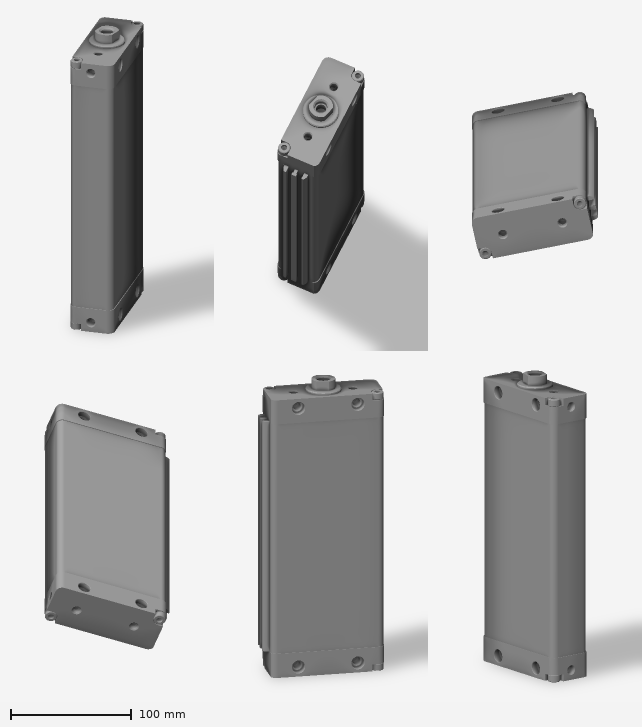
import cadquery as cq
import math

cap_height = 21.0
barrel_length = 200.0
rod_projection = 10.0

part_depth = 102.0
cap_width = 38.0
cap_depth = 97.0
cap_corner_radius = 5.8
barrel_inset = 0.63

drill_tip_ratio = 0.6

side_rail_inner_x = 7.0
side_rail_tip_x = 8.8
side_rail_middle_x = 10.5
side_rail_foot_x = 10.8
tee_stem_width = 2.8
tee_head_width = 4.3
tee_head_height = 2.3

thread_mouth_diameter = 8.3
thread_diameter = 6.5
thread_depth = 7.5
pilot_diameter = 5.5
pilot_depth = 12.5
port_inset = 8.3
hole_spacing = 50.5

cross_core_diameter = 6.5
cross_mouth_diameter = 8.3
cross_rim_diameter = 11.3
cross_seat_diameter = 10.5
cross_seat_depth = 5.0

screw_x = 13.5
screw_y = 42.8
screw_head_diameter = 10.0
screw_recess_diameter = 10.5
screw_recess_depth = 6.0
screw_chamfer = 0.5
socket_diameter = 5.0
socket_depth = 2.5

collar_diameter = 30.0
collar_height = 2.3
collar_chamfer = 0.8
rod_diameter = 20.0
rod_flat_width = 17.0
rod_flat_angle = -16.0
rod_mouth_diameter = 13.0
rod_mouth_depth = 1.3
rod_thread_diameter = 10.5
rod_thread_depth = 5.0
rod_core_diameter = 8.3
rod_core_depth = 12.5

barrel_top = cap_height + barrel_length
cap_top = barrel_top + cap_height
rod_top = cap_top + rod_projection
corner_x = cap_width / 2 - cap_corner_radius
corner_y = cap_depth / 2 - cap_corner_radius
barrel_corner_radius = cap_corner_radius - barrel_inset
cap_front_y = -cap_depth / 2
barrel_back_y = cap_depth / 2 - barrel_inset
rail_tip_y = cap_front_y + part_depth


def rounded_block(corner_radius, height):
    """Block with rounded vertical edges whose corner centres are shared by every housing part."""
    width = 2 * (corner_x + corner_radius)
    depth = 2 * (corner_y + corner_radius)
    block = cq.Workplane("XY").rect(width, depth).extrude(height)
    return block.edges("|Z").fillet(corner_radius)


def cone_tip(diameter):
    """Drill-point cone with its base on Z = 0 and its point downwards."""
    radius = diameter / 2
    profile = cq.Workplane("XZ").polyline([(0, 0), (radius, 0), (0, -drill_tip_ratio * radius)]).close()
    return profile.revolve(360, (0, 0, 0), (0, 1, 0))


def threaded_hole():
    """Cutter for a stepped blind hole with a countersunk mouth, entering Z = 0 from above."""
    mouth_radius = thread_mouth_diameter / 2
    thread_radius = thread_diameter / 2
    pilot_radius = pilot_diameter / 2
    profile = (
        cq.Workplane("XZ")
        .lineTo(mouth_radius, 0)
        .lineTo(thread_radius, thread_radius - mouth_radius)
        .lineTo(thread_radius, -thread_depth)
        .lineTo(pilot_radius, -thread_depth)
        .lineTo(pilot_radius, -pilot_depth)
        .lineTo(0, -pilot_depth)
        .close()
    )
    return profile.revolve(360, (0, 0, 0), (0, 1, 0))


def cross_hole():
    """Cutter along X: a through hole with a chamfered counterbore and a countersink at both ends."""
    half_width = cap_width / 2
    seat_x = half_width - cross_seat_depth
    core_radius = cross_core_diameter / 2
    mouth_radius = cross_mouth_diameter / 2
    seat_radius = cross_seat_diameter / 2
    rim_radius = cross_rim_diameter / 2
    half_profile = (
        cq.Workplane("XY")
        .lineTo(half_width, 0)
        .lineTo(half_width, rim_radius)
        .lineTo(half_width - (rim_radius - seat_radius), seat_radius)
        .lineTo(seat_x, seat_radius)
        .lineTo(seat_x, mouth_radius)
        .lineTo(seat_x - (mouth_radius - core_radius), core_radius)
        .lineTo(0, core_radius)
        .close()
    )
    half_hole = half_profile.revolve(360, (0, 0, 0), (1, 0, 0))
    return half_hole.union(half_hole.mirror("YZ"))


def screw_recess():
    """Cutter for the +X +Y corner: a round pocket opened out through both side faces."""
    radius = screw_recess_diameter / 2
    arc_middle = -radius * math.sqrt(0.5)
    outline = (
        cq.Workplane("XY")
        .moveTo(-radius, 0)
        .threePointArc((arc_middle, arc_middle), (0, -radius))
        .lineTo(screw_recess_diameter, -radius)
        .lineTo(screw_recess_diameter, screw_recess_diameter)
        .lineTo(-radius, screw_recess_diameter)
        .close()
    )
    return outline.extrude(-screw_recess_depth)


def screw_head():
    """Socket screw head standing on the recess floor with its top at Z = 0 and both rims chamfered."""
    head = cq.Workplane("XY").circle(screw_head_diameter / 2).extrude(-screw_recess_depth)
    head = head.edges().chamfer(screw_chamfer)
    socket = cq.Workplane("XY").circle(socket_diameter / 2).extrude(-socket_depth)
    tip = cone_tip(socket_diameter).translate((0, 0, -socket_depth))
    return head.cut(socket).cut(tip)


def build_cap():
    """Cap with its outer face up at Z = cap_height, and its corner screws at -X -Y and +X +Y."""
    cap = rounded_block(cap_corner_radius, cap_height)

    trim = cq.Workplane("XY").box(cap_width, cap_corner_radius, cap_height, centered=(True, False, False))
    cap = cap.cut(trim.translate((0, barrel_back_y, 0)))

    port_z = cap_height - port_inset
    for side in (-1, 1):
        cap = cap.cut(cross_hole().translate((0, side * hole_spacing / 2, port_z)))
        cap = cap.cut(threaded_hole().translate((0, side * hole_spacing / 2, cap_height)))

    port = threaded_hole().rotate((0, 0, 0), (1, 0, 0), 90)
    cap = cap.cut(port.translate((0, cap_front_y, port_z)))

    for turn in (0, 180):
        recess = screw_recess().translate((screw_x, screw_y, cap_height))
        head = screw_head().translate((screw_x, screw_y, cap_height))
        cap = cap.cut(recess.rotate((0, 0, 0), (0, 0, 1), turn))
        cap = cap.union(head.rotate((0, 0, 0), (0, 0, 1), turn))
    return cap


def build_top_cap():
    """Top cap with a bearing collar and the bore for the piston rod."""
    collar_base = cq.Workplane("XY").workplane(offset=cap_height)
    collar = collar_base.circle(collar_diameter / 2).extrude(collar_height)
    collar = collar.faces(">Z").edges().chamfer(collar_chamfer)
    bore = cq.Workplane("XY").circle(rod_diameter / 2).extrude(cap_height + collar_height)
    return build_cap().union(collar).cut(bore).translate((0, 0, barrel_top))


def side_rail(side):
    """Rail near one side of the +Y face, with a flat inner face and an outer face bowed from tip to foot."""
    inner_x = side * side_rail_inner_x
    tip = (side * side_rail_tip_x, rail_tip_y)
    middle = (side * side_rail_middle_x, (barrel_back_y + rail_tip_y) / 2)
    foot = (side * side_rail_foot_x, barrel_back_y)
    outline = (
        cq.Workplane("XY")
        .moveTo(inner_x, barrel_back_y)
        .lineTo(inner_x, rail_tip_y)
        .lineTo(*tip)
        .threePointArc(middle, foot)
        .close()
    )
    return outline.extrude(barrel_length)


def tee_rail():
    """Central rail of T section with its head outwards."""
    half_stem = tee_stem_width / 2
    half_head = tee_head_width / 2
    shoulder_y = rail_tip_y - tee_head_height
    half_outline = (
        cq.Workplane("XY")
        .moveTo(0, barrel_back_y)
        .lineTo(half_stem, barrel_back_y)
        .lineTo(half_stem, shoulder_y)
        .lineTo(half_head, shoulder_y)
        .lineTo(half_head, rail_tip_y)
        .lineTo(0, rail_tip_y)
        .mirrorY()
    )
    return half_outline.extrude(barrel_length)


def build_barrel():
    """Barrel between the caps, with three rails along its +Y face."""
    barrel = rounded_block(barrel_corner_radius, barrel_length)
    for side in (-1, 1):
        barrel = barrel.union(side_rail(side))
    return barrel.union(tee_rail()).translate((0, 0, cap_height))


def build_rod():
    """Piston rod seated on the barrel, with wrench flats above the collar and a threaded end hole."""
    rod_base = cq.Workplane("XY").workplane(offset=barrel_top)
    rod = rod_base.circle(rod_diameter / 2).extrude(rod_top - barrel_top)

    flat_bottom = cap_top + collar_height
    flats = (
        cq.Workplane("XY")
        .workplane(offset=flat_bottom)
        .rect(2 * rod_diameter, 2 * rod_diameter)
        .rect(rod_flat_width, 2 * rod_diameter)
        .extrude(rod_top - flat_bottom)
        .rotate((0, 0, 0), (0, 0, 1), rod_flat_angle)
    )
    rod = rod.cut(flats)

    mouth_radius = rod_mouth_diameter / 2
    thread_radius = rod_thread_diameter / 2
    core_radius = rod_core_diameter / 2
    hole = (
        cq.Workplane("XZ")
        .lineTo(mouth_radius, 0)
        .lineTo(thread_radius, -rod_mouth_depth)
        .lineTo(thread_radius, -rod_thread_depth)
        .lineTo(core_radius, -rod_thread_depth)
        .lineTo(core_radius, -rod_core_depth)
        .lineTo(0, -rod_core_depth - drill_tip_ratio * core_radius)
        .close()
        .revolve(360, (0, 0, 0), (0, 1, 0))
    )
    return rod.cut(hole.translate((0, 0, rod_top)))


bottom_cap = build_cap().mirror("XY").translate((0, 0, cap_height))
barrel = build_barrel()
top_cap = build_top_cap()
rod = build_rod()

result = cq.Compound.makeCompound([bottom_cap.val(), barrel.val(), top_cap.val(), rod.val()])